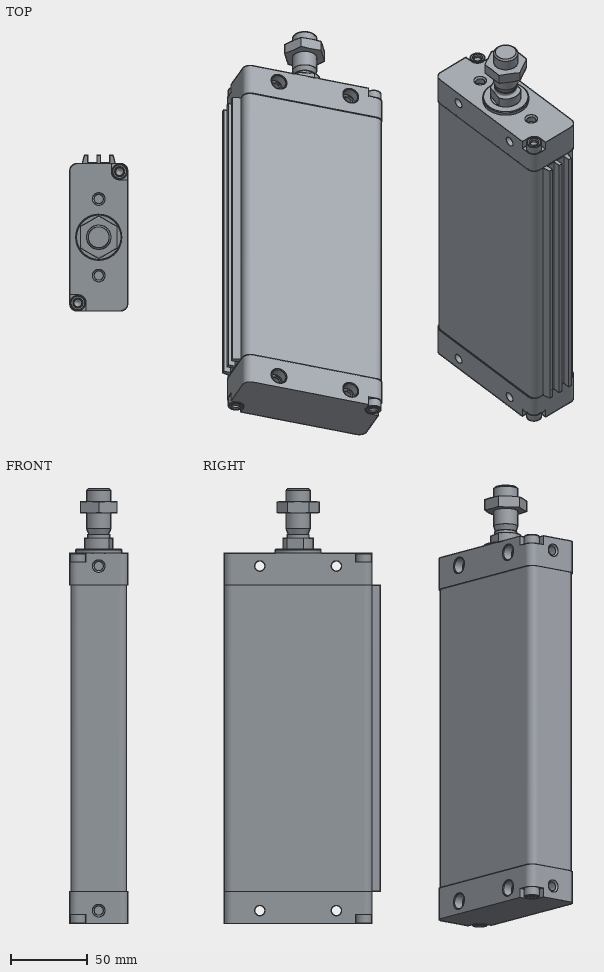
import cadquery as cq
import math


total_height = 284.0
cap_width = 38.0
body_depth = 96.5
cap_height = 21.0
barrel_height = 200.0
barrel_width = 36.4
corner_radius = 5.0

rail_height = 5.5
rail_base_height = 0.5
center_rail_width = 2.5
side_rail_inner = 7.0
side_rail_top = 9.5
side_rail_foot = 10.8

hole_spacing = 50.0
hole_inset = 8.5
through_diameter = 6.5
through_mouth_diameter = 8.0
counterbore_diameter = 10.0
counterbore_mouth_diameter = 11.0
counterbore_depth = 7.0
tapped_diameter = 6.0
tapped_mouth_diameter = 8.2
tapped_depth = 5.0
port_depth = 8.5

notch_size = 10.8
screw_inset = notch_size / 2
notch_depth = 6.0
screw_head_diameter = 10.0
screw_head_height = notch_depth
screw_head_chamfer = 0.5
socket_diameter = 5.0
socket_mouth_diameter = 6.5
socket_depth = 2.3
socket_cone_height = 1.5

gland_diameter = 30.0
gland_height = 2.5
gland_chamfer = 0.5

rod_diameter = 20.0
rod_flat_width = 16.5
rod_flat_angle = 13.0
shoulder_height = 251.5
collar_diameter = 14.5
collar_height = 2.5
collar_fillet = 0.9
neck_diameter = 13.0
thread_diameter = 16.0
thread_start_height = 258.0
thread_tip_chamfer = 1.0

nut_flat_width = 24.0
nut_height = 7.5
nut_corner_drop = 0.3
nut_bottom_height = 268.0

barrel_bottom = cap_height
barrel_top = barrel_bottom + barrel_height
front_cap_top = barrel_top + cap_height
gland_top = front_cap_top + gland_height


def rounded_block(width, height):
    """Upright block centred on the Z axis, standing on Z = 0, with rounded vertical edges."""
    block = cq.Workplane("XY").box(width, body_depth, height, centered=(True, True, False))
    return block.edges("|Z").fillet(corner_radius)


def cylinder(diameter, height):
    return cq.Workplane("XY").circle(diameter / 2).extrude(height)


def countersunk_hole(diameter, mouth_diameter, depth):
    """Cutter for a hole that goes down from Z = 0, with a 45 degree countersunk mouth."""
    mouth_depth = (mouth_diameter - diameter) / 2
    mouth = cq.Solid.makeCone(
        diameter / 2, mouth_diameter / 2, mouth_depth, cq.Vector(0, 0, -mouth_depth)
    )
    return cylinder(diameter, -depth).union(cq.Workplane(mouth))


def tapped_hole(depth):
    return countersunk_hole(tapped_diameter, tapped_mouth_diameter, depth)


def counterbored_hole():
    """Cutter for a hole along +X through the cap, counterbored from the -X face."""
    counterbore = countersunk_hole(counterbore_diameter, counterbore_mouth_diameter, counterbore_depth)
    bore = countersunk_hole(through_diameter, through_mouth_diameter, cap_width - counterbore_depth)
    hole = counterbore.union(bore.translate((0, 0, -counterbore_depth)))
    return hole.rotate((0, 0, 0), (0, 1, 0), -90).translate((-cap_width / 2, 0, 0))


def corner_notch():
    """Cutter for a screw recess at the (-X, -Y) corner, going down from Z = 0, round around the screw."""
    notch = (
        cq.Workplane("XY")
        .lineTo(notch_size, 0)
        .lineTo(notch_size, screw_inset)
        .radiusArc((screw_inset, notch_size), -screw_inset)
        .lineTo(0, notch_size)
        .close()
        .extrude(-notch_depth)
    )
    return notch.translate((-cap_width / 2, -body_depth / 2, 0))


def screw_head():
    """Screw head standing on Z = 0, with a round socket that ends in a cone."""
    head = cylinder(screw_head_diameter, screw_head_height).faces(">Z").edges().chamfer(screw_head_chamfer)
    socket = countersunk_hole(socket_diameter, socket_mouth_diameter, socket_depth)
    tip_level = -socket_depth - socket_cone_height
    tip = cq.Solid.makeCone(0, socket_diameter / 2, socket_cone_height, cq.Vector(0, 0, tip_level))
    socket = socket.union(cq.Workplane(tip))
    return head.cut(socket.translate((0, 0, screw_head_height)))


def make_end_cap():
    """End cap with its outer face up, at Z = cap_height."""
    cap = rounded_block(cap_width, cap_height)
    hole_level = cap_height - hole_inset

    port = tapped_hole(port_depth).rotate((0, 0, 0), (1, 0, 0), 90)
    cap = cap.cut(port.translate((0, -body_depth / 2, hole_level)))

    for y in (-hole_spacing / 2, hole_spacing / 2):
        cap = cap.cut(counterbored_hole().translate((0, y, hole_level)))

    screw_x = -cap_width / 2 + screw_inset
    screw_y = -body_depth / 2 + screw_inset
    for angle in (0, 180):
        notch = corner_notch().translate((0, 0, cap_height))
        head = screw_head().translate((screw_x, screw_y, cap_height - notch_depth))
        cap = cap.cut(notch.rotate((0, 0, 0), (0, 0, 1), angle))
        cap = cap.union(head.rotate((0, 0, 0), (0, 0, 1), angle))
    return cap


def make_rear_cap():
    """End cap mirrored so that its outer face is down at Z = 0."""
    return make_end_cap().mirror("XY").translate((0, 0, cap_height))


def make_front_cap():
    """End cap with the rod gland, the rod bore and two tapped mounting holes."""
    cap = make_end_cap()
    for y in (-hole_spacing / 2, hole_spacing / 2):
        cap = cap.cut(tapped_hole(tapped_depth).translate((0, y, cap_height)))
    gland = cylinder(gland_diameter, gland_height).faces(">Z").edges().chamfer(gland_chamfer)
    cap = cap.union(gland.translate((0, 0, cap_height)))
    cap = cap.cut(cylinder(rod_diameter, cap_height + gland_height))
    return cap.translate((0, 0, barrel_top))


def make_barrel():
    """Barrel with three sensor rails along its +Y face."""
    barrel = rounded_block(barrel_width, barrel_height)
    face_y = body_depth / 2
    base_y = face_y + rail_base_height
    crest_y = face_y + rail_height
    half_center = center_rail_width / 2
    root_y = face_y - corner_radius
    profile = [
        (-side_rail_foot, root_y),
        (-side_rail_foot, face_y),
        (-side_rail_top, crest_y),
        (-side_rail_inner, crest_y),
        (-side_rail_inner, base_y),
        (-half_center, base_y),
        (-half_center, crest_y),
    ]
    mirrored = [(-x, y) for x, y in reversed(profile)]
    rails = cq.Workplane("XY").polyline(profile + mirrored).close().extrude(barrel_height)
    return barrel.union(rails).translate((0, 0, barrel_bottom))


def make_rod():
    """Piston rod with two wrench flats above the gland and a threaded end."""
    rod_radius = rod_diameter / 2
    collar_radius = collar_diameter / 2
    neck_radius = neck_diameter / 2
    thread_radius = thread_diameter / 2
    collar_top = shoulder_height + collar_height
    fillet_inset = collar_fillet * (1 - math.sqrt(0.5))
    rod = (
        cq.Workplane("XZ")
        .moveTo(0, barrel_top)
        .lineTo(rod_radius, barrel_top)
        .lineTo(rod_radius, shoulder_height)
        .lineTo(collar_radius + collar_fillet, shoulder_height)
        .threePointArc(
            (collar_radius + fillet_inset, shoulder_height + fillet_inset),
            (collar_radius, shoulder_height + collar_fillet),
        )
        .lineTo(collar_radius, collar_top)
        .lineTo(neck_radius, collar_top)
        .lineTo(thread_radius, thread_start_height)
        .lineTo(thread_radius, total_height - thread_tip_chamfer)
        .lineTo(thread_radius - thread_tip_chamfer, total_height)
        .lineTo(0, total_height)
        .close()
        .revolve(360, (0, 0, 0), (0, 1, 0))
    )
    wrench_zone = cylinder(gland_diameter, shoulder_height - gland_top)
    between_flats = cq.Workplane("XY").box(
        rod_flat_width, gland_diameter, shoulder_height - gland_top, centered=(True, True, False)
    )
    flats = wrench_zone.cut(between_flats).rotate((0, 0, 0), (0, 0, 1), -rod_flat_angle)
    return rod.cut(flats.translate((0, 0, gland_top)))


def make_nut():
    """Hexagon nut with corners on the Y axis and shallow chamfers on its corners."""
    corner_diameter = nut_flat_width / math.cos(math.pi / 6)
    blank = cq.Workplane("XY").polygon(6, corner_diameter).extrude(nut_height)
    blank = blank.rotate((0, 0, 0), (0, 0, 1), 90)
    flat_radius = nut_flat_width / 2
    tip_radius = corner_diameter / 2
    envelope = (
        cq.Workplane("XZ")
        .moveTo(0, 0)
        .lineTo(flat_radius, 0)
        .lineTo(tip_radius, nut_corner_drop)
        .lineTo(tip_radius, nut_height - nut_corner_drop)
        .lineTo(flat_radius, nut_height)
        .lineTo(0, nut_height)
        .close()
        .revolve(360, (0, 0, 0), (0, 1, 0))
    )
    nut = blank.intersect(envelope).cut(cylinder(thread_diameter, nut_height))
    return nut.translate((0, 0, nut_bottom_height))


rear_cap = make_rear_cap()
barrel = make_barrel()
front_cap = make_front_cap()
rod = make_rod()
nut = make_nut()

result = cq.Compound.makeCompound(
    [rear_cap.val(), barrel.val(), front_cap.val(), rod.val(), nut.val()]
)